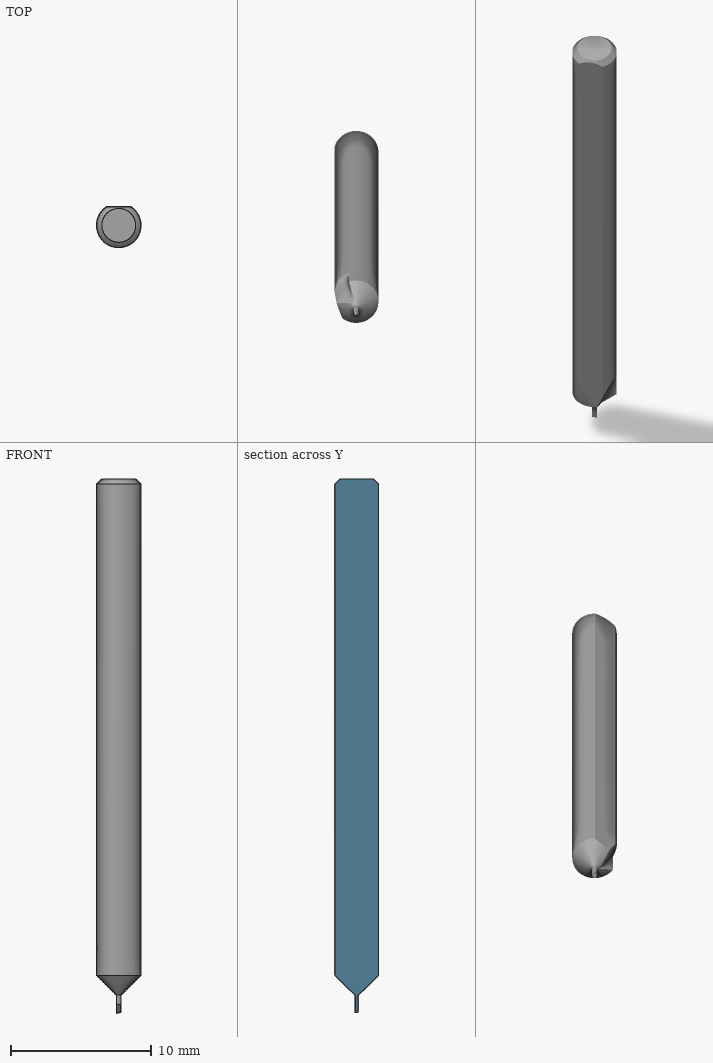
import cadquery as cq
import math

overall_length = 38.1
shank_radius = 3.175 / 2
shank_flat_y = 1.333
top_chamfer = 0.38

tip_radius = 0.175
shoulder_z = 2.72
cone_end_z = shoulder_z - (shank_radius - tip_radius)

facet_count = 8
facets_top_z = 0.64
end_angle = 15.0

flute_top_z = 4.87
flute_floor_angle = 19.2
flute_turn = -15.4

clear_width = 4 * shank_radius


def tool_blank():
    """Chamfered shank, cone and round tip, turned about Z."""
    blank = (
        cq.Workplane("XZ")
        .moveTo(0, facets_top_z)
        .lineTo(-tip_radius, facets_top_z)
        .lineTo(-tip_radius, cone_end_z)
        .lineTo(-shank_radius, shoulder_z)
        .lineTo(-shank_radius, overall_length - top_chamfer)
        .lineTo(-shank_radius + top_chamfer, overall_length)
        .lineTo(0, overall_length)
        .close()
        .revolve(360, (0, 0), (0, 1))
    )
    return blank


def faceted_end():
    """Prism inscribed in the round tip, with one corner pointing to -X."""
    return cq.Workplane("XY").polygon(facet_count, 2 * tip_radius).extrude(facets_top_z)


def shank_flat():
    """Stock beyond the flat on the +Y side."""
    stock = cq.Workplane("XY").box(clear_width, clear_width, overall_length, centered=(True, False, False))
    return stock.translate((0, shank_flat_y, 0))


def flute():
    """Wedge outside the sloping floor, limited to the +Y half."""
    floor_run = flute_top_z * math.tan(math.radians(flute_floor_angle))
    wedge = (
        cq.Workplane("XZ")
        .moveTo(-shank_radius, flute_top_z)
        .lineTo(-shank_radius + floor_run, 0)
        .lineTo(-clear_width, 0)
        .lineTo(-clear_width, flute_top_z)
        .close()
        .extrude(clear_width, both=True)
        .rotate((0, 0, 0), (0, 0, 1), flute_turn)
    )
    positive_y_half = cq.Workplane("XY").box(
        2 * clear_width, clear_width, flute_top_z, centered=(True, False, False)
    )
    return wedge.intersect(positive_y_half)


def end_slope():
    """Stock below the sloping end face, which rises from the corner at -X towards +X."""
    end_rise = 2 * tip_radius * math.tan(math.radians(end_angle))
    return (
        cq.Workplane("XZ")
        .moveTo(-tip_radius, 0)
        .lineTo(tip_radius, end_rise)
        .lineTo(tip_radius, 0)
        .close()
        .extrude(tip_radius, both=True)
    )


result = tool_blank().union(faceted_end()).cut(shank_flat()).cut(flute()).cut(end_slope())